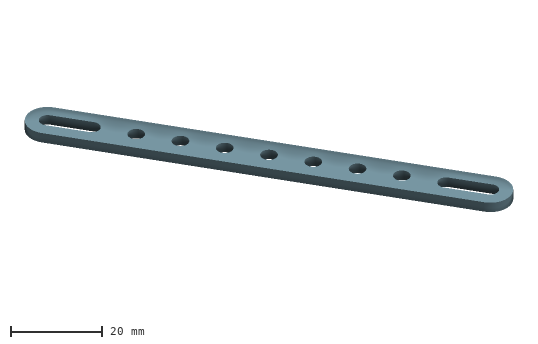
import cadquery as cq

length = 110.0
pitch_count = 11
hole_diameter = 3.8
hole_count = 7

pitch = length / pitch_count
width = pitch
thickness = pitch / 4
end_center = (length - width) / 2
slot_travel = pitch
slot_length = slot_travel + hole_diameter
slot_center = end_center - slot_travel / 2


def make_bar():
    """Flat bar with full-round ends."""
    return cq.Workplane("XY").slot2D(length, width).extrude(thickness)


def cut_holes(body):
    """Row of evenly spaced through holes centered on the bar."""
    return (
        body.faces(">Z").workplane(origin=(0, 0, thickness))
        .rarray(pitch, pitch, hole_count, 1)
        .hole(hole_diameter)
    )


def cut_slots(body):
    """One lengthwise through slot near each end."""
    return (
        body.faces(">Z").workplane(origin=(0, 0, thickness))
        .pushPoints([(-slot_center, 0), (slot_center, 0)])
        .slot2D(slot_length, hole_diameter)
        .cutThruAll()
    )


result = cut_slots(cut_holes(make_bar()))